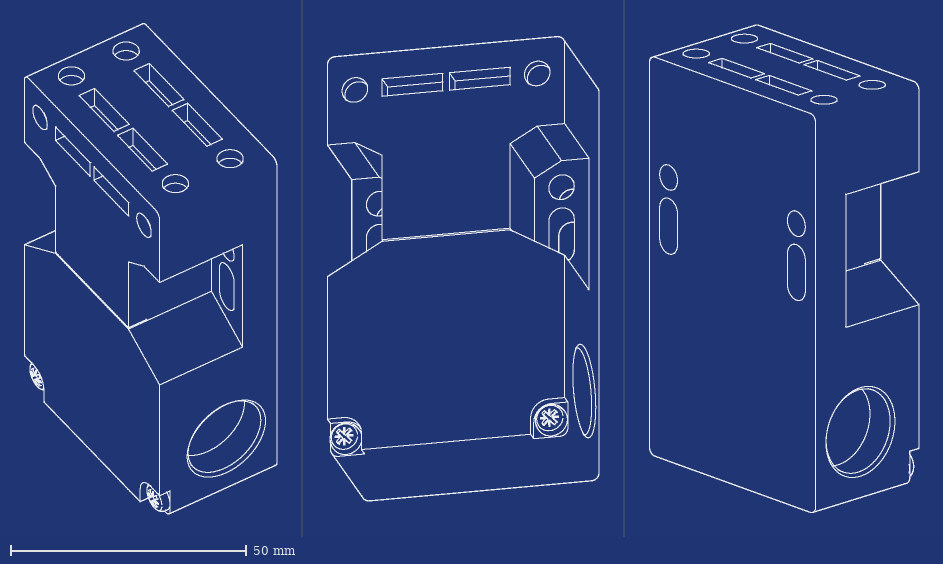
import cadquery as cq
import math

WIDTH = 52.0
DEPTH = 30.0
HEIGHT = 90.0
CORNER_RADIUS = 1.7
FRONT = -DEPTH / 2

FLANGE_THICKNESS = 8.8
NOTCH_TOP = 70.0
NECK_HALF_WIDTH = 14.0
MOUNT_X = 20.0
FLANK_ANGLE = 30
SLOPE = math.tan(math.radians(FLANK_ANGLE))
LEDGE_INNER_Z = 47.0

MOUNT_DIAMETER = 5.6
MOUNT_HOLE_Z = 64.0
MOUNT_SLOT_Z = 53.0
MOUNT_SLOT_LENGTH = 12.5

WINDOW_LENGTH = 13.3
WINDOW_HEIGHT = 4.0
WINDOW_GAP = 1.4
WINDOW_DEPTH = 5.0
HEAD_HOLE_DEPTH = 2.5
ENTRY_INSET = 8.0

GAP_HEIGHT = 0.4
GAP_DEPTH = 4.6
PIN_DIAMETER = 3.3
PIN_X = 11.7
PIN_Z = 51.0
PIN_LENGTH = 4.5

PORT_DIAMETER = 18.5
PORT_CHAMFER = 0.7
PORT_DEPTH = 7.0
PORT_FROM_FRONT = 17.0
PORT_Z = 15.5

RECESS_DEPTH = 2.7
RECESS_RADIUS = 4.0
SCREW_X = 22.5
SCREW_Z = 3.7
SCREW_RADIUS = 3.4
SCREW_RIM_HEIGHT = 0.6
SCREW_CROWN_RADIUS = 2.9
SCREW_SHOULDER_HEIGHT = 1.7
SCREW_HEIGHT = 2.3
DRIVE_LENGTH = 4.0
DRIVE_WIDTH = 0.8
DRIVE_DEPTH = 1.35
DRIVE_TICK_WIDTH = 0.3
DRIVE_TICK_DEPTH = 0.4

SIDES = (-1, 1)


def front_plane():
    """Plane of the front face, with its normal pointing out."""
    return cq.Workplane("XZ", origin=(0, FRONT, 0))


def make_block():
    block = cq.Workplane("XY").box(WIDTH, DEPTH, HEIGHT, centered=(True, True, False))
    return block.edges("|Y").fillet(CORNER_RADIUS)


def side_notch(side):
    """Notch from the front down to the flange, with sloped top and bottom flanks."""
    edge = WIDTH / 2
    neck_top = NOTCH_TOP - (MOUNT_X - NECK_HALF_WIDTH) * SLOPE
    ledge_outer_z = LEDGE_INNER_Z - (edge - NECK_HALF_WIDTH) * SLOPE
    outline = [
        (side * edge, NOTCH_TOP),
        (side * MOUNT_X, NOTCH_TOP),
        (side * NECK_HALF_WIDTH, neck_top),
        (side * NECK_HALF_WIDTH, LEDGE_INNER_Z),
        (side * edge, ledge_outer_z),
    ]
    return front_plane().polyline(outline).close().extrude(FLANGE_THICKNESS - DEPTH)


def mount_openings(side):
    x = side * MOUNT_X
    hole = front_plane().center(x, MOUNT_HOLE_Z).circle(MOUNT_DIAMETER / 2).extrude(-DEPTH)
    slot = (
        front_plane()
        .center(x, MOUNT_SLOT_Z)
        .slot2D(MOUNT_SLOT_LENGTH, MOUNT_DIAMETER, 90)
        .extrude(-DEPTH)
    )
    return hole.union(slot)


def actuator_entry(face):
    """Pair of windows flanked by two round holes, cut inward from a row centred on `face`."""
    window_x = (WINDOW_GAP + WINDOW_LENGTH) / 2
    windows = (
        face.pushPoints([(side * window_x, 0) for side in SIDES])
        .rect(WINDOW_LENGTH, WINDOW_HEIGHT)
        .extrude(-WINDOW_DEPTH)
    )
    holes = (
        face.pushPoints([(side * MOUNT_X, 0) for side in SIDES])
        .circle(MOUNT_DIAMETER / 2)
        .extrude(-HEAD_HOLE_DEPTH)
    )
    return windows.union(holes)


def parting_gap():
    return (
        front_plane()
        .center(0, LEDGE_INNER_Z + GAP_HEIGHT / 2)
        .rect(2 * NECK_HALF_WIDTH, GAP_HEIGHT)
        .extrude(-GAP_DEPTH)
    )


def cable_entry(side):
    """Blind round port with a chamfered mouth, opening on one side face."""
    y = FRONT + PORT_FROM_FRONT
    radius = PORT_DIAMETER / 2
    mouth = WIDTH / 2
    profile = [
        (0, mouth),
        (radius + PORT_CHAMFER, mouth),
        (radius, mouth - PORT_CHAMFER),
        (radius, mouth - PORT_DEPTH),
        (0, mouth - PORT_DEPTH),
    ]
    side_axis = cq.Plane(origin=(0, y, PORT_Z), xDir=(0, 1, 0), normal=(0, 0, -side))
    return cq.Workplane(side_axis).polyline(profile).close().revolve(360, (0, 0), (0, 1))


def screw_recess(side):
    """Corner recess whose inner corner is an arc concentric with the screw."""
    edge = side * WIDTH / 2
    top = SCREW_Z + RECESS_RADIUS
    inner = side * (SCREW_X - RECESS_RADIUS)
    arc_reach = RECESS_RADIUS * math.sqrt(0.5)
    return (
        front_plane()
        .moveTo(edge, 0)
        .lineTo(edge, top)
        .lineTo(side * SCREW_X, top)
        .threePointArc(
            (side * (SCREW_X - arc_reach), SCREW_Z + arc_reach),
            (inner, SCREW_Z),
        )
        .lineTo(inner, 0)
        .close()
        .extrude(-RECESS_DEPTH)
    )


def drive_cross(width, depth, angle):
    """Two crossed bars sunk `depth` below the top of a screw head lying on Z = 0."""
    top = cq.Workplane("XY", origin=(0, 0, SCREW_HEIGHT))
    bar = top.rect(DRIVE_LENGTH, width).extrude(-depth)
    cross = bar.union(top.rect(width, DRIVE_LENGTH).extrude(-depth))
    return cross.rotate((0, 0, 0), (0, 0, 1), angle)


def screw_head():
    """Domed head with a cross drive, seated on Z = 0."""
    dome_rise = SCREW_HEIGHT - SCREW_SHOULDER_HEIGHT
    dome_radius = (SCREW_CROWN_RADIUS**2 + dome_rise**2) / (2 * dome_rise)
    head = (
        cq.Workplane("XZ")
        .lineTo(SCREW_RADIUS, 0)
        .lineTo(SCREW_RADIUS, SCREW_RIM_HEIGHT)
        .tangentArcPoint((SCREW_CROWN_RADIUS, SCREW_SHOULDER_HEIGHT), relative=False)
        .radiusArc((0, SCREW_HEIGHT), -dome_radius)
        .close()
        .revolve(360, (0, 0), (0, 1))
    )
    head = head.cut(drive_cross(DRIVE_WIDTH, DRIVE_DEPTH, 45))
    return head.cut(drive_cross(DRIVE_TICK_WIDTH, DRIVE_TICK_DEPTH, 0))


def placed_screw(side):
    seated = screw_head().rotate((0, 0, 0), (1, 0, 0), 90)
    return seated.translate((side * SCREW_X, FRONT + RECESS_DEPTH, SCREW_Z))


def locking_pin(side):
    return front_plane().center(side * PIN_X, PIN_Z).circle(PIN_DIAMETER / 2).extrude(-PIN_LENGTH)


part = make_block()
for side in SIDES:
    part = part.cut(side_notch(side))
    part = part.cut(mount_openings(side))
    part = part.cut(cable_entry(side))
    part = part.cut(screw_recess(side))
    part = part.union(placed_screw(side))

part = part.cut(actuator_entry(front_plane().center(0, HEIGHT - ENTRY_INSET)))
for row in SIDES:
    row_y = row * (DEPTH / 2 - ENTRY_INSET)
    part = part.cut(actuator_entry(cq.Workplane("XY", origin=(0, row_y, HEIGHT))))

part = part.cut(parting_gap())

for side in SIDES:
    part = part.union(locking_pin(side), clean=False)

result = part